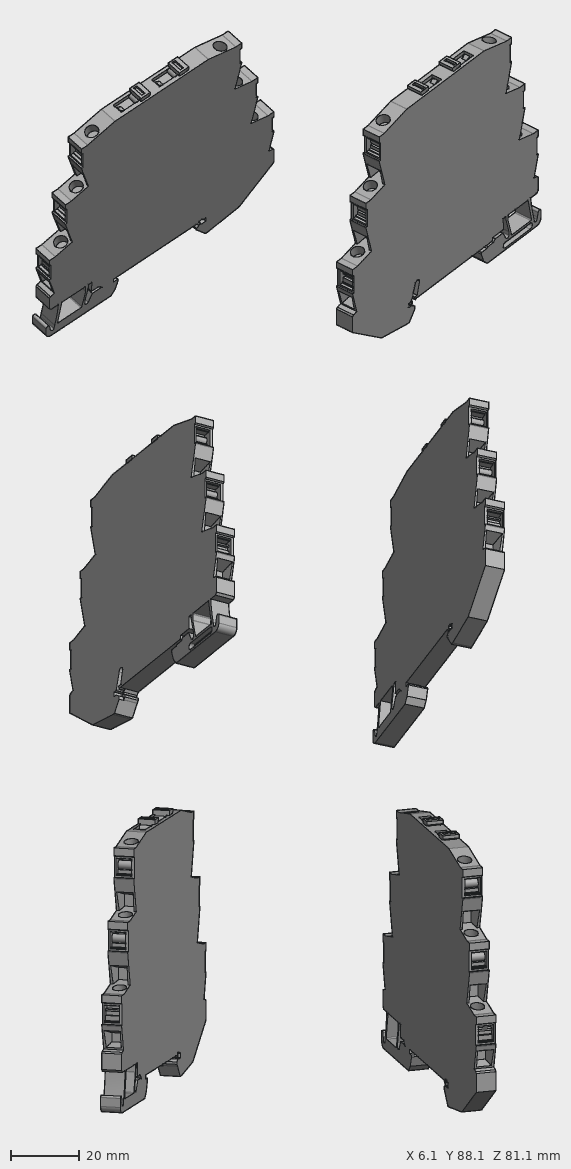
import cadquery as cq
import math


WIDTH = 6.1
TOP_Z = 79.4
BASE_Z = 7.0

TIER_COUNT = 3
TIER_TOP_Z = 76.75
TIER_PITCH_Z = 20.78
TIER_HALF = 30.95
TIER_PITCH_Y = 6.23
LIP_FLAT = 2.3
LIP_HEIGHT = 2.3
LIP_BEVEL = 0.3
BAND_INSET = 0.6
BAND_BOTTOM = 8.85
FLANK_TOP = 9.15
FLANK_SLOPE = 0.263
SHELF_SLOPE = 0.25
TOP_HALF = TIER_HALF - LIP_FLAT - (TOP_Z - TIER_TOP_Z) / SHELF_SLOPE
FOOT_TOP_Z = 18.65
FOOT_CHAMFER = 0.45
FOOT_FALL = 0.4
FOOT_CORNER = 0.7

WINDOW_X = (0.5, 5.25)
WINDOW_TOP = 3.15
WINDOW_BOTTOM = 8.3
WINDOW_LEDGE = 0.3
LEDGE_DEPTH = 1.0
WINDOW_DEPTH = 3.2
BARREL_RADIUS = 1.3
BARREL_DROP = 5.6
SILL_REACH = 1.3
RIDGE_TOP = 4.6
RIDGE_BOTTOM = 5.15
RIDGE_REACH = 1.8
STEP_TOP = 6.5

POCKET_X = (0.45, 5.65)
POCKET_FLOOR_X = (1.6, 4.95)
POCKET_HEIGHT = 6.0
POCKET_FLOOR_HEIGHT = 4.4
POCKET_SILL_RISE = 1.65
POCKET_MOUTH = 2.0
POCKET_DEPTH = 3.2

SCREW_X = 3.5
SCREW_RADIUS = 2.1
SCREW_Y = 24.8
SCREW_PITCH_Y = 6.0
SCREW_DEPTH = 3.5

RECESS_DEPTH = 1.6

CLIP_BOTTOM_Z = 0.15
CLIP_END_Y = -44.7
BLOCK_BOTTOM_Z = 12.2
LEG_FILLET = 0.3
BAR_SLOT_Y = (-40.65, -27.05)
BAR_SLOT_Z = (0.9, 3.0)

LEVER_X = (0.5, 5.6)
LEVER_FRONTS = (7.3, -7.55)
LEVER_LENGTH = 3.6
LEVER_TOP_Z = 81.14
LEVER_NOSE_Z = 80.1
LEVER_GAP = 0.3
LEVER_UNDERCUT = 0.5
GRIP_X = (1.1, 4.8)
GRIP_SETBACK = 1.0
GRIP_LENGTH = 1.2
GRIP_DEPTH = 0.8
SLOT_X = (1.1, 4.65)
SLOT_DEPTH = 1.3
SLOT_LENGTH = 6.85
STEM_REACH = 0.95
STEM_LENGTH = 3.4
RAMP_X = (2.1, 3.9)
RAMP_LENGTH = 1.5
RAMP_GAP = 0.5
RAMP_HEIGHT = 0.8


def plate(points, x_start=0.0, x_end=WIDTH):
    """Extrude a closed (Y, Z) outline between two X positions."""
    outline = cq.Workplane("YZ", origin=(x_start, 0, 0)).polyline(points).close()
    return outline.extrude(x_end - x_start)


def block(x_range, y_range, z_range):
    """Axis-aligned box from its limits."""
    size = [limits[1] - limits[0] for limits in (x_range, y_range, z_range)]
    corner = (x_range[0], y_range[0], z_range[0])
    return cq.Workplane("XY").box(*size, centered=False).translate(corner)


def tier_top(tier):
    return TIER_TOP_Z - tier * TIER_PITCH_Z


def tier_half(tier):
    return TIER_HALF + tier * TIER_PITCH_Y


def valley(tier):
    """(Y, Z) of the inner corner below a tier, on the +Y side."""
    flank_z = tier_top(tier) - FLANK_TOP
    if tier == TIER_COUNT - 1:
        return tier_half(tier) - FLANK_SLOPE * (flank_z - FOOT_TOP_Z), FOOT_TOP_Z
    shelf_y = tier_half(tier + 1) - LIP_FLAT
    shelf_z = tier_top(tier + 1)
    run = tier_half(tier) - FLANK_SLOPE * (flank_z - shelf_z)
    y = (run + FLANK_SLOPE * SHELF_SLOPE * shelf_y) / (1 + FLANK_SLOPE * SHELF_SLOPE)
    return y, shelf_z + SHELF_SLOPE * (shelf_y - y)


def end_outline():
    """Stepped outline of one end, from the flat top down to the foot, on the +Y side."""
    points = [(TOP_HALF, TOP_Z)]
    for tier in range(TIER_COUNT):
        top = tier_top(tier)
        half = tier_half(tier)
        band = half - BAND_INSET
        points += [
            (half - LIP_FLAT, top),
            (half, top),
            (half, top - LIP_HEIGHT),
            (band, top - LIP_HEIGHT - LIP_BEVEL),
            (band, top - BAND_BOTTOM),
            (half, top - BAND_BOTTOM),
            (half, top - FLANK_TOP),
            valley(tier),
        ]
    foot = tier_half(TIER_COUNT - 1)
    points += [
        (foot - FOOT_CHAMFER, FOOT_TOP_Z - FOOT_FALL),
        (foot, FOOT_TOP_Z - FOOT_FALL - FOOT_CHAMFER),
    ]
    return points


def housing_plate():
    """Full-width plate with the fixed rail hook on the +Y side."""
    right_end = [(-y, z) for y, z in end_outline()]
    foot = tier_half(TIER_COUNT - 1)
    hook = [
        (foot, 12.0),
        (29.9, 2.0),
        (17.75, 0.0),
        (16.9, 0.0),
        (14.1, 3.6),
        (13.5, 4.3),
        (13.5, 5.0),
        (14.4, 5.7),
        (14.2, 6.2),
        (13.45, BASE_Z),
    ]
    rail_side = [
        (-21.85, BASE_Z),
        (-22.2, 8.15),
        (-27.15, 8.15),
        (-26.95, BLOCK_BOTTOM_Z),
        (-foot + FOOT_CORNER, BLOCK_BOTTOM_Z),
        (-foot, BLOCK_BOTTOM_Z + FOOT_CORNER),
    ]
    return plate(end_outline() + hook + rail_side + right_end[::-1])


def hook_opening():
    """Notch through the plate behind the hook nose."""
    return plate([
        (17.1, 7.1), (15.95, 7.1), (15.7, 7.6), (14.5, 7.6), (14.45, 7.0), (14.75, 6.5),
        (14.75, 5.85), (15.2, 5.85), (15.4, 5.6), (17.1, 5.6),
    ])


def hook_recess():
    """Side recess with a sloping round-ended slot above the hook nose."""
    outline = (
        cq.Workplane("YZ")
        .moveTo(15.75, 7.5)
        .lineTo(14.15, 12.4)
        .threePointArc((13.05, 13.4), (12.1, 12.4))
        .lineTo(13.25, 7.9)
        .lineTo(14.5, 7.9)
        .lineTo(14.1, 6.7)
        .lineTo(13.45, BASE_Z)
        .lineTo(13.0, 6.0)
        .lineTo(13.0, 4.0)
        .lineTo(14.2, 3.4)
        .lineTo(14.35, 4.6)
        .lineTo(16.0, 5.6)
        .close()
    )
    return outline.extrude(RECESS_DEPTH)


def rail_clip():
    """Clip bar hung from the housing on two slanted spring legs."""
    bar = (
        cq.Workplane("YZ")
        .moveTo(-16.9, 5.75)
        .lineTo(-16.75, 5.2)
        .lineTo(-17.9, 2.0)
        .lineTo(-19.5, CLIP_BOTTOM_Z)
        .lineTo(-42.6, CLIP_BOTTOM_Z)
        .threePointArc((-44.1, 0.75), (CLIP_END_Y, 2.1))
        .lineTo(CLIP_END_Y, 4.8)
        .threePointArc((-44.0, 5.35), (-43.35, 4.8))
        .lineTo(-43.0, 3.3)
        .lineTo(-42.75, 2.5)
        .threePointArc((-42.2, 2.1), (-41.65, 2.5))
        .lineTo(-41.35, 3.8)
        .threePointArc((-40.45, 8.0), (-39.9, BLOCK_BOTTOM_Z))
        .lineTo(-28.25, BLOCK_BOTTOM_Z)
        .lineTo(-28.25, 11.3)
        .lineTo(-29.7, 5.8)
        .lineTo(-29.7, 4.5)
        .threePointArc((-29.15, 3.9), (-28.4, 4.2))
        .lineTo(-26.8, BASE_Z)
        .lineTo(-23.3, BASE_Z)
        .lineTo(-22.4, 6.15)
        .lineTo(-19.9, 6.15)
        .lineTo(-19.4, 5.75)
        .close()
        .extrude(WIDTH)
    )
    leg_window = plate([
        (-29.35, BLOCK_BOTTOM_Z),
        (-29.35, 9.9),
        (-30.95, 3.85),
        (-40.3, 3.85),
        (-38.6, BLOCK_BOTTOM_Z),
    ])
    leg_window = leg_window.edges("|X").edges(">Y or <Y or <Z").fillet(LEG_FILLET)
    latch_web = plate(
        [(-18.55, BASE_Z), (-21.85, BASE_Z), (-22.2, 8.15), (-24.4, 8.15), (-23.2, BASE_Z),
         (-22.4, 6.0), (-18.55, 5.6)],
        x_start=RECESS_DEPTH,
    )
    return bar.cut(leg_window).union(latch_web)


def clip_bar_recess():
    """Round-ended recess in the side of the clip bar."""
    length = BAR_SLOT_Y[1] - BAR_SLOT_Y[0]
    height = BAR_SLOT_Z[1] - BAR_SLOT_Z[0]
    return (
        cq.Workplane("YZ", origin=(0, sum(BAR_SLOT_Y) / 2, sum(BAR_SLOT_Z) / 2))
        .slot2D(length, height)
        .extrude(RECESS_DEPTH)
    )


def window_cut(tier):
    """Stepped window in the -Y band of a tier."""
    top = tier_top(tier)
    face = -(tier_half(tier) - BAND_INSET)
    lower = top - WINDOW_BOTTOM
    upper = top - WINDOW_TOP
    opening = block(WINDOW_X, (face - BAND_INSET / 2, face + LEDGE_DEPTH), (lower, upper))
    inner_z = (lower + WINDOW_LEDGE, upper - WINDOW_LEDGE)
    return opening.union(block(WINDOW_X, (face, face + WINDOW_DEPTH), inner_z))


def barrel_sill(tier):
    """Sill left standing under the barrel at the back of a -Y window."""
    top = tier_top(tier)
    back = -(tier_half(tier) - BAND_INSET) + WINDOW_DEPTH
    sill_z = (top - WINDOW_BOTTOM, top - BARREL_DROP - BARREL_RADIUS)
    return block(WINDOW_X, (back - SILL_REACH, back), sill_z)


def barrel(tier):
    """Wire barrel lying along X, half sunk in the back wall of a -Y window."""
    axis_y = -(tier_half(tier) - BAND_INSET) + WINDOW_DEPTH
    axis_z = tier_top(tier) - BARREL_DROP
    length = WINDOW_X[1] - WINDOW_X[0]
    centre = (WINDOW_X[0], axis_y, axis_z)
    return cq.Workplane("YZ", origin=centre).circle(BARREL_RADIUS).extrude(length)


def clamp_ridge():
    """Ridge and step left standing in the lowest -Y window."""
    tier = TIER_COUNT - 1
    top = tier_top(tier)
    back = -(tier_half(tier) - BAND_INSET) + WINDOW_DEPTH
    front = back - RIDGE_REACH
    return plate(
        [
            (back, top - RIDGE_TOP),
            (front, top - RIDGE_TOP),
            (front, top - RIDGE_BOTTOM),
            (back - RIDGE_REACH / 2, top - RIDGE_BOTTOM),
            (back - RIDGE_REACH / 2, top - STEP_TOP),
            (front, top - STEP_TOP),
            (front, top - WINDOW_BOTTOM),
            (back, top - WINDOW_BOTTOM),
        ],
        *WINDOW_X,
    )


def flank_pocket(tier):
    """Tapered screwdriver pocket in the -Y flank below a tier."""
    valley_y, valley_z = valley(tier)
    mouth_y = -valley_y - POCKET_MOUTH
    floor_y = -valley_y + POCKET_DEPTH
    if tier == TIER_COUNT - 1:
        mouth_bottom = valley_z
        floor_bottom = valley_z + POCKET_SILL_RISE
    else:
        mouth_bottom = valley_z - SHELF_SLOPE * POCKET_MOUTH
        floor_bottom = valley_z + SHELF_SLOPE * POCKET_DEPTH

    def rectangle(x_range, y, z_range):
        corners = [(x_range[i], y, z_range[j]) for i, j in ((0, 0), (1, 0), (1, 1), (0, 1))]
        return cq.Wire.makePolygon([cq.Vector(*corner) for corner in corners], close=True)

    mouth = rectangle(POCKET_X, mouth_y, (mouth_bottom, valley_z + POCKET_HEIGHT))
    floor = rectangle(POCKET_FLOOR_X, floor_y, (floor_bottom, valley_z + POCKET_FLOOR_HEIGHT))
    return cq.Workplane(obj=cq.Solid.makeLoft([mouth, floor], True))


def screw_hole(tier):
    """Blind screw hole square to the -Y shelf of a tier."""
    centre_y = SCREW_Y + tier * SCREW_PITCH_Y
    centre_z = tier_top(tier) + SHELF_SLOPE * (tier_half(tier) - LIP_FLAT - centre_y)
    tilt = math.atan(SHELF_SLOPE)
    outward = cq.Vector(0, -math.sin(tilt), math.cos(tilt))
    start = cq.Vector(SCREW_X, -centre_y, centre_z) + outward * SCREW_RADIUS
    return cq.Workplane(
        obj=cq.Solid.makeCylinder(SCREW_RADIUS, SCREW_DEPTH + SCREW_RADIUS, start, outward * -1)
    )


def lever_stem(front):
    """Stem that carries a lever head from the slot floor, with a rounded front."""
    rear = front + STEM_LENGTH - STEM_REACH
    foot_y = front - STEM_REACH
    floor_z = TOP_Z - SLOT_DEPTH
    shortfall = 1 - math.sqrt(0.5)
    bend = (foot_y + STEM_REACH * shortfall, TOP_Z - SLOT_DEPTH * shortfall)
    return (
        cq.Workplane("YZ", origin=(SLOT_X[0], 0, 0))
        .moveTo(foot_y, floor_z)
        .threePointArc(bend, (front, TOP_Z))
        .lineTo(front, TOP_Z + LEVER_GAP)
        .lineTo(rear, TOP_Z + LEVER_GAP)
        .lineTo(rear, floor_z)
        .close()
        .extrude(SLOT_X[1] - SLOT_X[0])
    )


def lever(front):
    """Lever head with a finger recess, on a stem that fills the rear of its slot."""
    rear = front + LEVER_LENGTH
    underside = TOP_Z + LEVER_GAP
    head = plate(
        [
            (front, underside),
            (front, LEVER_TOP_Z),
            (rear, LEVER_TOP_Z),
            (rear, LEVER_NOSE_Z),
            (rear - LEVER_UNDERCUT, underside),
        ],
        *LEVER_X,
    )
    grip_y = (front + GRIP_SETBACK, front + GRIP_SETBACK + GRIP_LENGTH)
    grip = block(GRIP_X, grip_y, (LEVER_TOP_Z - GRIP_DEPTH, LEVER_TOP_Z))
    return head.cut(grip).union(lever_stem(front))


def lever_slot(front):
    """Slot in the top face for a lever stem, with a small ramp at its front end."""
    start = front - SLOT_LENGTH
    floor_z = TOP_Z - SLOT_DEPTH
    slot = block(SLOT_X, (start, front + STEM_LENGTH - STEM_REACH), (floor_z, TOP_Z))
    ramp_end = start + RAMP_GAP
    ramp = plate(
        [(ramp_end, floor_z), (ramp_end, floor_z + RAMP_HEIGHT), (ramp_end + RAMP_LENGTH, floor_z)],
        *RAMP_X,
    )
    return slot.cut(ramp)


def both_ends(shape):
    """A -Y end feature and its mirror image at the +Y end."""
    return [shape, shape.mirror("XZ")]


barrels = []
for tier in range(TIER_COUNT - 1):
    barrels += both_ends(barrel(tier))

levers = [lever(front) for front in LEVER_FRONTS]

housing = housing_plate().cut(hook_opening()).cut(hook_recess())
housing = housing.union(rail_clip()).cut(clip_bar_recess())
for tier in range(TIER_COUNT):
    window = window_cut(tier)
    if tier == TIER_COUNT - 1:
        window = window.cut(clamp_ridge())
    else:
        window = window.cut(barrel_sill(tier))
    for feature in (window, flank_pocket(tier), screw_hole(tier)):
        for cutter in both_ends(feature):
            housing = housing.cut(cutter)
for wire_barrel in barrels:
    housing = housing.cut(wire_barrel)
for front in LEVER_FRONTS:
    housing = housing.cut(lever_slot(front))

bodies = [housing, *levers, *barrels]
result = cq.Compound.makeCompound([body.val() for body in bodies])